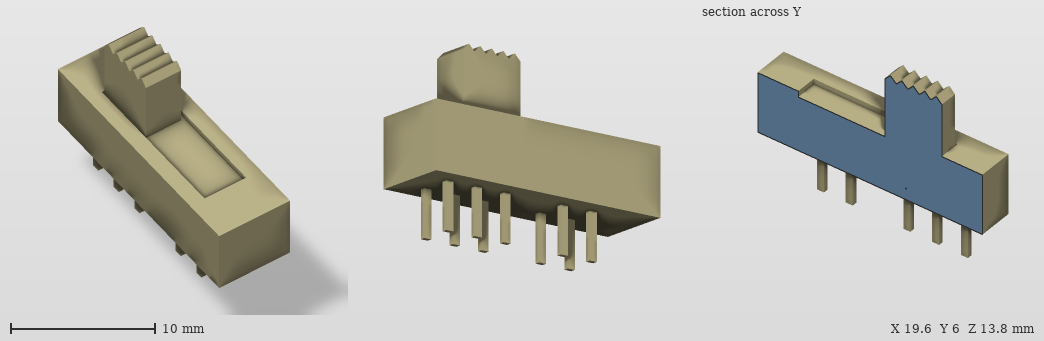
import cadquery as cq

body_length = 19.6
body_width = 6.0
body_height = 5.2

slot_length = 12.5
slot_width = 3.5
slot_depth = 0.5
slot_start_x = -6.27

knob_length = 5.0
knob_width = 3.0
knob_height = 5.0
tooth_count = 5
tooth_pitch = knob_length / tooth_count
tooth_height = tooth_pitch / 2

pin_length_x = 0.6
pin_width_y = 0.41
pin_drop = 3.6
pin_pitch = 2.5
pin_first_x = -7.43
pin_positions = (0, 1, 2, 4, 5)
row_spacing = pin_pitch


def make_housing():
    body = cq.Workplane("XY").box(body_length, body_width, body_height, centered=(True, True, False))
    window = (
        cq.Workplane("XY", origin=(slot_start_x, 0, body_height - slot_depth))
        .box(slot_length, slot_width, slot_depth, centered=(False, True, False))
    )
    return body.cut(window)


def make_knob():
    base_z = body_height - slot_depth
    tip_z = body_height + knob_height
    valley_z = tip_z - tooth_height
    profile = [(slot_start_x, base_z), (slot_start_x, valley_z)]
    for tooth in range(tooth_count):
        tooth_x = slot_start_x + tooth * tooth_pitch
        profile.append((tooth_x + tooth_pitch / 2, tip_z))
        profile.append((tooth_x + tooth_pitch, valley_z))
    profile.append((slot_start_x + knob_length, base_z))
    return cq.Workplane("XZ").polyline(profile).close().extrude(knob_width / 2, both=True)


def make_pins():
    centers = [
        (pin_first_x + position * pin_pitch, side * row_spacing / 2)
        for position in pin_positions
        for side in (-1, 1)
    ]
    return cq.Workplane("XY").pushPoints(centers).rect(pin_length_x, pin_width_y).extrude(-pin_drop)


result = make_housing().union(make_knob()).union(make_pins())